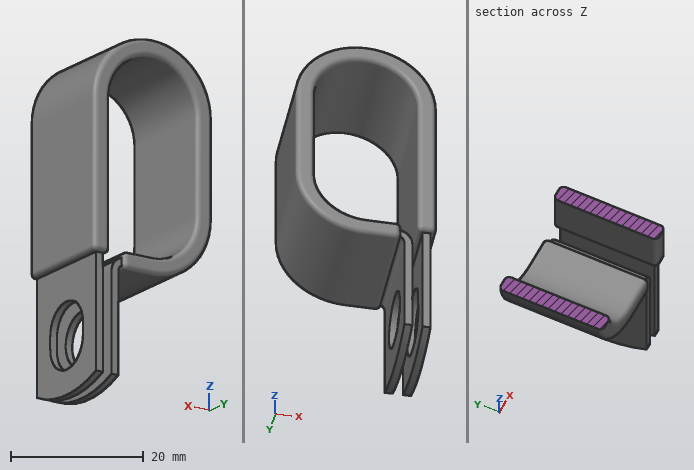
import cadquery as cq
import math


loop_width = 15.875
straight_height = 15.84
strap_thickness = 1.2192
strap_width = 15.875
cushion_cover = 0.79375
tab_gap = 1.5875
bend_inner_radius = 1.27
cushion_end_x = 5.3
overall_height = 55.91
tip_radius = 19.05
hole_diameter = 8.73125
slot_length = 10.8
hole_to_tip = 9.45

arc_mid_factor = math.sqrt(0.5)

inner_radius = loop_width / 2
cushion_thickness = strap_thickness + 2 * cushion_cover
cushion_width = strap_width + 2 * cushion_cover
outer_radius = inner_radius + cushion_thickness
strap_inner_radius = inner_radius + cushion_cover
strap_outer_radius = strap_inner_radius + strap_thickness
lower_center_z = -straight_height
tip_z = outer_radius - overall_height
hole_z = tip_z + hole_to_tip
cushion_leg_end_z = lower_center_z - strap_inner_radius

short_tab_outer_x = strap_inner_radius - tab_gap
short_tab_inner_x = short_tab_outer_x - strap_thickness
bend_center_x = short_tab_inner_x - bend_inner_radius
bend_center_z = lower_center_z - strap_outer_radius - bend_inner_radius
bend_outer_radius = bend_inner_radius + strap_thickness


def loop_profile(inner, outer, leg_end_z, run_end_x):
    """Closed XZ outline of the hook-shaped loop between two concentric radii."""
    return (
        cq.Workplane("XZ")
        .moveTo(outer, leg_end_z)
        .lineTo(outer, 0)
        .threePointArc((0, outer), (-outer, 0))
        .lineTo(-outer, lower_center_z)
        .threePointArc(
            (-outer * arc_mid_factor, lower_center_z - outer * arc_mid_factor),
            (0, lower_center_z - outer),
        )
        .lineTo(run_end_x, lower_center_z - outer)
        .lineTo(run_end_x, lower_center_z - inner)
        .lineTo(0, lower_center_z - inner)
        .threePointArc(
            (-inner * arc_mid_factor, lower_center_z - inner * arc_mid_factor),
            (-inner, lower_center_z),
        )
        .lineTo(-inner, 0)
        .threePointArc((0, inner), (inner, 0))
        .lineTo(inner, leg_end_z)
        .close()
    )


def end_edges(block, face_center):
    """Edges across the width on the end face nearest to the given point."""
    return block.faces(cq.NearestToPointSelector(face_center)).edges("|Y")


def make_cushion():
    """Loop cushion with all its edges rounded down to the strap."""
    profile = loop_profile(inner_radius, outer_radius, cushion_leg_end_z, cushion_end_x)
    block = profile.extrude(cushion_width / 2, both=True)
    side_edges = block.faces("|Y").edges()
    leg_center_x = inner_radius + cushion_thickness / 2
    run_center_z = lower_center_z - leg_center_x
    leg_end_edges = end_edges(block, (leg_center_x, 0, cushion_leg_end_z))
    run_end_edges = end_edges(block, (cushion_end_x, 0, run_center_z))
    return side_edges.add(leg_end_edges).add(run_end_edges).fillet(cushion_cover)


def make_long_tab():
    """Straight tab continuing the right leg of the loop."""
    return cq.Workplane("XY", origin=(strap_inner_radius, 0, tip_z)).box(
        strap_thickness, strap_width, -tip_z, centered=(False, True, False)
    )


def bend_middle(radius):
    """Midpoint of the short tab's bend at the given radius."""
    offset = radius * arc_mid_factor
    return (bend_center_x + offset, bend_center_z + offset)


def make_short_tab():
    """Tab bent down from the lower run of the loop."""
    return (
        cq.Workplane("XZ")
        .moveTo(0, bend_center_z + bend_outer_radius)
        .lineTo(bend_center_x, bend_center_z + bend_outer_radius)
        .threePointArc(bend_middle(bend_outer_radius), (short_tab_outer_x, bend_center_z))
        .lineTo(short_tab_outer_x, tip_z)
        .lineTo(short_tab_inner_x, tip_z)
        .lineTo(short_tab_inner_x, bend_center_z)
        .threePointArc(
            bend_middle(bend_inner_radius),
            (bend_center_x, bend_center_z + bend_inner_radius),
        )
        .lineTo(0, bend_center_z + bend_inner_radius)
        .close()
        .extrude(strap_width / 2, both=True)
    )


def make_tip_limit():
    """Block whose lower end is the arc to which both tabs are trimmed."""
    half_width = strap_width / 2
    corner_z = tip_z + tip_radius - math.sqrt(tip_radius**2 - half_width**2)
    return (
        cq.Workplane("YZ")
        .moveTo(half_width, 0)
        .lineTo(half_width, corner_z)
        .threePointArc((0, tip_z), (-half_width, corner_z))
        .lineTo(-half_width, 0)
        .close()
        .extrude(outer_radius)
    )


def hole_plane(tab_inner_x):
    """Workplane on a tab's inner face, centred on the bolt position."""
    return cq.Workplane("YZ", origin=(tab_inner_x, 0, hole_z))


def make_round_hole():
    """Bolt hole through the short tab."""
    return hole_plane(short_tab_inner_x).circle(hole_diameter / 2).extrude(strap_thickness)


def make_slot():
    """Vertical bolt slot through the long tab."""
    return hole_plane(strap_inner_radius).slot2D(slot_length, hole_diameter, 90).extrude(strap_thickness)


tip_limit = make_tip_limit()
long_tab = make_long_tab().intersect(tip_limit).cut(make_slot())
short_tab = make_short_tab().intersect(tip_limit).cut(make_round_hole())

result = make_cushion().union(long_tab).union(short_tab)